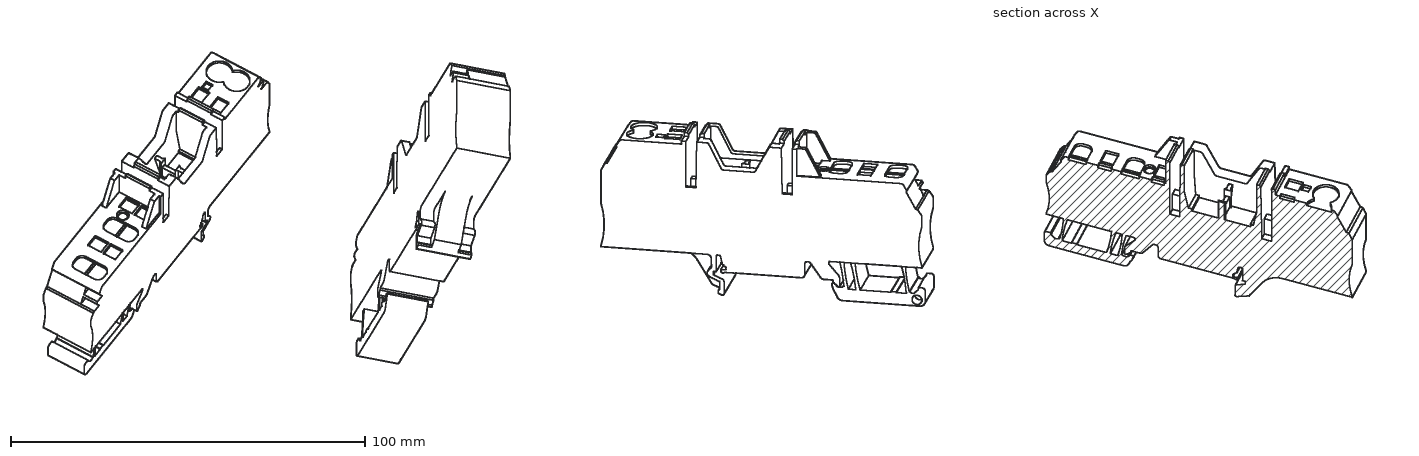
import cadquery as cq


WIDTH = 16.0
HALF_WIDTH = WIDTH / 2
LENGTH = 93.09
HEIGHT = 46.66

RIDGE_HEIGHT = 1.12
SHOULDER_Z = HEIGHT - RIDGE_HEIGHT
REAR_DECK_Z = 44.6
FRONT_DECK_Z = 37.45
SADDLE_Z = 37.7
BODY_FRONT_Y = 0.58
REAR_BASE_Z = 12.0
FRONT_BASE_Z = 12.5
RAIL_BASE_Z = 6.95

END_HOLLOW = 0.9
END_HOLLOW_TOP_Z = 25.0
END_LIP = 0.5

SLOT_FLOOR_Z = 31.8
SLOT_TOP_WIDTH = 3.1
SLOT_FLOOR_WIDTH = 2.85
REAR_SLOT_Y = 68.6
FRONT_SLOT_Y = 38.0
WALL_THICKNESS = 1.3

REAR_WALL_Y = REAR_SLOT_Y + WALL_THICKNESS
FRONT_WALL_Y = FRONT_SLOT_Y - WALL_THICKNESS

OVERLAP = 0.3

RECESS_DEPTH = 0.9


def box(x0, x1, y0, y1, z0, z1):
    """Block given by its limits along each axis."""
    return cq.Workplane("XY").box(x1 - x0, y1 - y0, z1 - z0, centered=False).translate((x0, y0, z0))


def side_prism(outline, x0, x1):
    """Closed (Y, Z) outline extruded from x0 to x1."""
    return cq.Workplane("YZ").polyline(outline).close().extrude(x1 - x0).translate((x0, 0, 0))


def center(span):
    """Middle of a (low, high) pair."""
    return (span[0] + span[1]) / 2


def size(span):
    """Length of a (low, high) pair."""
    return span[1] - span[0]


REAR_SLOPE_TOP = (88.6, 42.5)
REAR_SLOPE_BOTTOM = (91.3, 37.3)
FRONT_SLOPE_TOP = (5.1, 35.0)
FRONT_SLOPE_BOTTOM = (2.4, 30.1)


def make_body():
    """Housing with its rail seat and the skin of the rail hook, over the full width."""
    outline = (
        cq.Workplane("YZ")
        .moveTo(LENGTH, REAR_BASE_Z)
        .lineTo(LENGTH, REAR_BASE_Z + END_LIP)
        .threePointArc((LENGTH - END_HOLLOW, center((REAR_BASE_Z, END_HOLLOW_TOP_Z))),
                       (LENGTH, END_HOLLOW_TOP_Z))
        .lineTo(LENGTH, 35.0)
        .lineTo(92.1, 37.1)
        .lineTo(*REAR_SLOPE_BOTTOM)
        .lineTo(*REAR_SLOPE_TOP)
        .lineTo(88.75, 42.85)
        .lineTo(87.8, 44.2)
        .threePointArc((87.4, 44.5), (86.9, REAR_DECK_Z))
        .lineTo(REAR_WALL_Y, REAR_DECK_Z)
        .lineTo(REAR_WALL_Y, SHOULDER_Z)
        .lineTo(REAR_SLOT_Y, SHOULDER_Z)
        .lineTo(REAR_SLOT_Y, SLOT_FLOOR_Z)
        .lineTo(REAR_SLOT_Y - SLOT_FLOOR_WIDTH, SLOT_FLOOR_Z)
        .lineTo(REAR_SLOT_Y - SLOT_TOP_WIDTH, SHOULDER_Z)
        .lineTo(62.7, SHOULDER_Z)
        .threePointArc((62.25, 45.4), (61.95, 45.05))
        .lineTo(58.5, 38.25)
        .threePointArc((58.2, 37.85), (57.7, SADDLE_Z))
        .lineTo(49.3, SADDLE_Z)
        .threePointArc((48.8, 37.85), (48.5, 38.25))
        .lineTo(45.0, 45.05)
        .threePointArc((44.7, 45.4), (44.2, SHOULDER_Z))
        .lineTo(FRONT_SLOT_Y + SLOT_TOP_WIDTH, SHOULDER_Z)
        .lineTo(FRONT_SLOT_Y + SLOT_FLOOR_WIDTH, SLOT_FLOOR_Z)
        .lineTo(FRONT_SLOT_Y, SLOT_FLOOR_Z)
        .lineTo(FRONT_SLOT_Y, SHOULDER_Z)
        .lineTo(FRONT_WALL_Y, SHOULDER_Z)
        .lineTo(FRONT_WALL_Y, FRONT_DECK_Z)
        .lineTo(6.75, FRONT_DECK_Z)
        .threePointArc((6.2, 37.3), (5.8, 36.9))
        .lineTo(4.95, 35.4)
        .lineTo(*FRONT_SLOPE_TOP)
        .lineTo(*FRONT_SLOPE_BOTTOM)
        .lineTo(1.8, 29.9)
        .lineTo(0.8, 28.5)
        .threePointArc((0.65, 28.2), (BODY_FRONT_Y, 27.9))
        .lineTo(BODY_FRONT_Y, END_HOLLOW_TOP_Z)
        .threePointArc((BODY_FRONT_Y + END_HOLLOW, center((FRONT_BASE_Z, END_HOLLOW_TOP_Z))),
                       (BODY_FRONT_Y, FRONT_BASE_Z + END_LIP))
        .lineTo(BODY_FRONT_Y, FRONT_BASE_Z)
        .lineTo(26.9, FRONT_BASE_Z)
        .threePointArc((27.4, 12.2), (27.3, 11.6))
        .lineTo(24.6, 8.5)
        .threePointArc((24.3, 7.9), (24.2, 7.2))
        .lineTo(24.2, 5.6)
        .threePointArc((24.6, 5.0), (25.1, 5.3))
        .lineTo(26.2, 6.3)
        .lineTo(26.3, RAIL_BASE_Z)
        .lineTo(28.8, RAIL_BASE_Z)
        .threePointArc((29.4, 7.1), (29.9, 7.6))
        .lineTo(32.6, 11.4)
        .threePointArc((33.6, 11.95), (34.4, 11.2))
        .lineTo(34.4, 7.8)
        .threePointArc((34.7, 7.2), (35.3, RAIL_BASE_Z))
        .lineTo(57.4, RAIL_BASE_Z)
        .lineTo(58.0, 6.65)
        .lineTo(58.5, 7.0)
        .lineTo(58.5, 7.75)
        .lineTo(57.1, 7.75)
        .lineTo(57.1, 8.4)
        .lineTo(58.2, 9.5)
        .lineTo(58.55, 11.4)
        .threePointArc((59.2, 12.0), (59.9, 11.4))
        .lineTo(59.9, RAIL_BASE_Z)
        .lineTo(60.7, RAIL_BASE_Z)
        .lineTo(60.7, 6.0)
        .lineTo(58.3, 4.95)
        .threePointArc((57.8, 4.6), (57.6, 4.0))
        .lineTo(57.6, 0.4)
        .threePointArc((57.8, 0.12), (58.2, 0.0))
        .lineTo(59.35, 0.55)
        .lineTo(59.35, 1.2)
        .lineTo(58.85, 1.8)
        .lineTo(58.85, 4.0)
        .lineTo(62.1, 5.5)
        .threePointArc((62.5, 6.3), (62.3, 7.0))
        .lineTo(61.25, 8.2)
        .lineTo(61.25, 10.9)
        .threePointArc((61.6, 11.6), (62.6, REAR_BASE_Z))
        .close()
    )
    return outline.extrude(WIDTH).translate((-HALF_WIDTH, 0, 0))


HOOK_WEB_WIDTH = 8.0


def make_hook_web():
    """Narrow web that stiffens the hook; it overlaps the hook skin and the housing."""
    web = (
        cq.Workplane("YZ")
        .moveTo(71.5, REAR_BASE_Z)
        .threePointArc((68.5, 10.9), (65.9, 8.2))
        .lineTo(61.9, 1.6)
        .lineTo(59.35, 0.55)
        .lineTo(58.5, 1.8)
        .lineTo(58.5, 4.3)
        .lineTo(61.6, 6.0)
        .lineTo(60.8, 8.2)
        .lineTo(60.8, REAR_BASE_Z + OVERLAP)
        .lineTo(71.5, REAR_BASE_Z + OVERLAP)
        .close()
    )
    return web.extrude(HOOK_WEB_WIDTH).translate((-HOOK_WEB_WIDTH / 2, 0, 0))


FOOT_WIDTH = 12.2
FOOT_FLOOR_Z = 3.85
FOOT_BASE_Z = 0.25
STOP_BUMP_Y = (8.3, 9.9)
STOP_BUMP_HEIGHT = 0.25
FOOT_HOLE_Y = 2.4
FOOT_HOLE_Z = 2.1
FOOT_HOLE_RADIUS = 1.4
FOOT_HOLE_DEPTH = 4.0
SPRING_ROOT_Z = FRONT_BASE_Z + OVERLAP
SPRING_WAIST = 0.25
SPRING_LEGS = (
    ((22.1, 23.4), (23.5, 24.9)),
    ((18.7, 20.0), (20.3, 21.8)),
    ((4.4, 5.45), (5.75, 7.1)),
)


def make_release_foot():
    """Release foot hanging from the housing on three slanted spring legs."""
    half = FOOT_WIDTH / 2
    slider = (
        cq.Workplane("YZ")
        .moveTo(1.6, FOOT_BASE_Z)
        .threePointArc((0.45, 0.7), (0, 1.85))
        .lineTo(0, 4.9)
        .threePointArc((0.27, 5.55), (0.9, 5.8))
        .lineTo(2.0, 5.8)
        .lineTo(2.1, 5.1)
        .lineTo(3.2, 4.1)
        .threePointArc((3.8, 4.0), (4.4, 4.5))
        .lineTo(5.4, FOOT_FLOOR_Z)
        .lineTo(23.4, FOOT_FLOOR_Z)
        .lineTo(23.5, 4.9)
        .threePointArc((23.9, 4.4), (24.5, 4.3))
        .lineTo(25.2, 4.4)
        .lineTo(26.0, 5.4)
        .threePointArc((26.6, 5.4), (27.0, 4.9))
        .lineTo(26.6, 3.6)
        .lineTo(25.5, 1.5)
        .threePointArc((25.0, 0.7), (23.9, FOOT_BASE_Z))
        .close()
        .extrude(FOOT_WIDTH)
        .translate((-half, 0, 0))
    )
    leg_base_z = FOOT_FLOOR_Z - OVERLAP
    leg_middle_z = center((leg_base_z, SPRING_ROOT_Z))
    for (foot_front, foot_rear), (root_front, root_rear) in SPRING_LEGS:
        front_waist = center((foot_front, root_front)) + SPRING_WAIST
        rear_waist = center((foot_rear, root_rear)) - SPRING_WAIST
        leg = (
            cq.Workplane("YZ")
            .moveTo(foot_front, leg_base_z)
            .lineTo(foot_rear, leg_base_z)
            .threePointArc((rear_waist, leg_middle_z), (root_rear, SPRING_ROOT_Z))
            .lineTo(root_front, SPRING_ROOT_Z)
            .threePointArc((front_waist, leg_middle_z), (foot_front, leg_base_z))
            .close()
            .extrude(FOOT_WIDTH)
            .translate((-half, 0, 0))
        )
        slider = slider.union(leg)
    stop_bump = box(-half, half, *STOP_BUMP_Y, FOOT_FLOOR_Z - OVERLAP, FOOT_FLOOR_Z + STOP_BUMP_HEIGHT)
    tool_hole = (
        cq.Workplane("YZ")
        .center(FOOT_HOLE_Y, FOOT_HOLE_Z)
        .circle(FOOT_HOLE_RADIUS)
        .extrude(FOOT_HOLE_DEPTH)
        .translate((-half, 0, 0))
    )
    return slider.union(stop_bump).cut(tool_hole)


RIDGE_X = (-3.95, 4.15)
RIDGE_BEVEL = 0.5


def make_ridge(slot_side_y, away):
    """Ridge on a cross wall, bevelled toward the slot; away is +1 or -1 along Y."""
    outline = [
        (slot_side_y, SHOULDER_Z - OVERLAP),
        (slot_side_y, HEIGHT - RIDGE_BEVEL),
        (slot_side_y + away * RIDGE_BEVEL, HEIGHT),
        (slot_side_y + away * WALL_THICKNESS, HEIGHT),
        (slot_side_y + away * WALL_THICKNESS, SHOULDER_Z - OVERLAP),
    ]
    return side_prism(outline, *RIDGE_X)


CHEEK_OUTER_X = 7.45
CHEEK_INNER_X = 6.0
CHEEK_TOP_Y = 34.4
CHEEK_TOE_Y = 30.0
CHEEK_BEVEL = 0.35


def make_cheek(x0, x1):
    """Tapering thin wall standing on the front deck against the cross wall."""
    outline = [
        (FRONT_WALL_Y + OVERLAP, FRONT_DECK_Z - OVERLAP),
        (FRONT_WALL_Y + OVERLAP, SHOULDER_Z),
        (CHEEK_TOP_Y, SHOULDER_Z),
        (CHEEK_TOP_Y - CHEEK_BEVEL, SHOULDER_Z - CHEEK_BEVEL),
        (CHEEK_TOE_Y, FRONT_DECK_Z),
        (CHEEK_TOE_Y, FRONT_DECK_Z - OVERLAP),
    ]
    return side_prism(outline, x0, x1)


SLOT_POCKET_OUTER_X = 7.1
SLOT_POCKET_INNER_X = 1.0
SLOT_POCKET_DEPTH = 6.0


def slot_pockets(y0):
    """Two pockets in a slot floor, either side of a central web."""
    z0 = SLOT_FLOOR_Z - SLOT_POCKET_DEPTH
    y1 = y0 + SLOT_FLOOR_WIDTH
    left = box(-SLOT_POCKET_OUTER_X, -SLOT_POCKET_INNER_X, y0, y1, z0, SLOT_FLOOR_Z)
    return left.union(left.mirror("YZ"))


WELL_X = (-4.63, 5.57)
WELL_Y = (FRONT_SLOT_Y + SLOT_TOP_WIDTH + WALL_THICKNESS, REAR_SLOT_Y - SLOT_TOP_WIDTH - WALL_THICKNESS)
WELL_TAPER_Z = 36.2
WELL_FLOOR_Z = 30.2
WELL_FLOOR_X = (-2.7, 3.28)
WELL_FLOOR_Y = (43.6, 63.1)
WELL_PIT_Y = (44.7, 62.3)
WELL_PIT_DEPTH = 0.8
WELL_PIT_Z = WELL_FLOOR_Z - WELL_PIT_DEPTH
WELL_RIB_Y = (52.9, 54.1)
WELL_RIB_Z = 33.5
WELL_CLIP_Z = 36.0
WELL_CLIP_Y = (52.45, 54.65)
WELL_CLIP_LENGTH = 1.7
WELL_CLIPS = ((WELL_X[0], -3.75, 1), (WELL_X[1], 4.35, -1))


def make_well():
    """Funnel-shaped well between the slots, with a shallow pit in its floor."""
    upper = box(*WELL_X, *WELL_Y, WELL_TAPER_Z, HEIGHT)
    funnel = (
        cq.Workplane("XY", origin=(0, 0, WELL_FLOOR_Z))
        .center(center(WELL_FLOOR_X), center(WELL_FLOOR_Y))
        .rect(size(WELL_FLOOR_X), size(WELL_FLOOR_Y))
        .workplane(offset=WELL_TAPER_Z - WELL_FLOOR_Z)
        .center(center(WELL_X) - center(WELL_FLOOR_X), center(WELL_Y) - center(WELL_FLOOR_Y))
        .rect(size(WELL_X), size(WELL_Y))
        .loft(ruled=True)
    )
    pit = box(*WELL_FLOOR_X, *WELL_PIT_Y, WELL_PIT_Z, WELL_FLOOR_Z)
    return upper.union(funnel).union(pit)


def make_well_rib():
    """Low rib across the well floor that rises to an arrow-shaped clip at each side wall."""
    rib = box(*WELL_FLOOR_X, *WELL_RIB_Y, WELL_PIT_Z - OVERLAP, WELL_RIB_Z)
    middle = center(WELL_RIB_Y)
    for wall_x, tip_x, inward in WELL_CLIPS:
        face_x = tip_x + inward * WELL_CLIP_LENGTH
        post = box(min(wall_x, face_x), max(wall_x, face_x), *WELL_RIB_Y, WELL_PIT_Z - OVERLAP, WELL_CLIP_Z)
        arrow = (
            cq.Workplane("XY", origin=(0, 0, WELL_PIT_Z - OVERLAP))
            .polyline([(tip_x, middle), (face_x, WELL_CLIP_Y[0]), (face_x, WELL_CLIP_Y[1])])
            .close()
            .extrude(WELL_CLIP_Z - WELL_PIT_Z + OVERLAP)
        )
        rib = rib.union(post).union(arrow)
    return rib


SCREW_CENTERS_X = (-2.38, 3.5)
SCREW_Y = 83.05
SCREW_RADIUS = 3.72
NECK_WIDTH = 1.2
NECK_LENGTH = 4.85
TEST_OPENING_Y = (71.2, 75.4)
REAR_OPENINGS = (
    ((-3.6, -1.45), (75.9, 78.15)),
    ((-4.35, -0.67), TEST_OPENING_Y),
    ((2.1, 5.83), TEST_OPENING_Y),
)


def rear_deck_recesses():
    """Figure-eight screw recess, a small square and two test openings."""
    floor_z = REAR_DECK_Z - RECESS_DEPTH
    cut = (
        cq.Workplane("XY", origin=(0, 0, floor_z))
        .center(center(SCREW_CENTERS_X), SCREW_Y)
        .rect(NECK_WIDTH, NECK_LENGTH)
        .extrude(RECESS_DEPTH)
    )
    for x in SCREW_CENTERS_X:
        circle = cq.Workplane("XY", origin=(x, SCREW_Y, floor_z)).circle(SCREW_RADIUS).extrude(RECESS_DEPTH)
        cut = cut.union(circle)
    for x_range, y_range in REAR_OPENINGS:
        cut = cut.union(box(*x_range, *y_range, floor_z, REAR_DECK_Z))
    return cut


DIVIDER_X = (1.2, 1.9)
OPENING_X = (-3.3, 6.0)
OPENINGS_Y = ((32.35, 36.15), (16.25, 20.2))
ENTRY_X = (-3.5, 6.65)
ENTRIES_Y = ((23.25, 28.6), (7.3, 12.6))
ENTRY_CORNER_RADIUS = 2.0
ENTRY_DIVIDER_HEIGHT = 0.3
TEST_HOLE = (-0.68, 30.45)
TEST_HOLE_RADIUS = 1.35
TEST_HOLE_CHAMFER = 0.4


def front_deck_recesses():
    """Clamp openings, rounded wire entries and the countersunk test hole."""
    floor_z = FRONT_DECK_Z - RECESS_DEPTH
    cut = (
        cq.Workplane("XY", origin=(*TEST_HOLE, floor_z))
        .circle(TEST_HOLE_RADIUS)
        .extrude(RECESS_DEPTH)
    )
    countersink = (
        cq.Workplane("XY", origin=(*TEST_HOLE, FRONT_DECK_Z))
        .circle(TEST_HOLE_RADIUS + TEST_HOLE_CHAMFER)
        .workplane(offset=-TEST_HOLE_CHAMFER)
        .circle(TEST_HOLE_RADIUS)
        .loft()
    )
    cut = cut.union(countersink)
    for y0, y1 in OPENINGS_Y:
        opening = box(*OPENING_X, y0, y1, floor_z, FRONT_DECK_Z)
        cut = cut.union(opening.cut(box(*DIVIDER_X, y0, y1, floor_z, FRONT_DECK_Z)))
    for y0, y1 in ENTRIES_Y:
        entry = box(*ENTRY_X, y0, y1, floor_z, FRONT_DECK_Z).edges("|Z").fillet(ENTRY_CORNER_RADIUS)
        divider = box(*DIVIDER_X, y0, y1, floor_z, floor_z + ENTRY_DIVIDER_HEIGHT)
        cut = cut.union(entry.cut(divider))
    return cut


NOTCH_X = 3.4
NOTCH_SHARE = 0.43
NOTCH_UNDERCUT = 1.25


def slope_notches(top, bottom, outward):
    """Two undercut steps cut into a slanted end face; outward is +1 or -1 along Y."""
    def on_slope(share):
        return (top[0] + share * (bottom[0] - top[0]), top[1] + share * (bottom[1] - top[1]))

    cut = None
    for start in (0, 1 - NOTCH_SHARE):
        upper = on_slope(start)
        lower = on_slope(start + NOTCH_SHARE)
        step = [upper, (upper[0] - outward * NOTCH_UNDERCUT, lower[1]), lower]
        notch = side_prism(step, NOTCH_X, HALF_WIDTH)
        cut = notch if cut is None else cut.union(notch)
    return cut


part = make_body()
part = part.union(make_hook_web()).union(make_release_foot())
part = part.cut(make_well()).union(make_well_rib())

part = part.union(make_ridge(REAR_SLOT_Y, 1))
part = part.union(make_ridge(REAR_SLOT_Y - SLOT_TOP_WIDTH, -1))
part = part.union(make_ridge(FRONT_SLOT_Y + SLOT_TOP_WIDTH, 1))
part = part.union(make_ridge(FRONT_SLOT_Y, -1))

part = part.union(make_cheek(-CHEEK_OUTER_X, -CHEEK_INNER_X))
part = part.union(make_cheek(CHEEK_INNER_X, CHEEK_OUTER_X))

part = part.cut(slot_pockets(REAR_SLOT_Y - SLOT_FLOOR_WIDTH)).cut(slot_pockets(FRONT_SLOT_Y))
part = part.cut(rear_deck_recesses()).cut(front_deck_recesses())
part = part.cut(slope_notches(REAR_SLOPE_TOP, REAR_SLOPE_BOTTOM, 1))
result = part.cut(slope_notches(FRONT_SLOPE_TOP, FRONT_SLOPE_BOTTOM, -1))